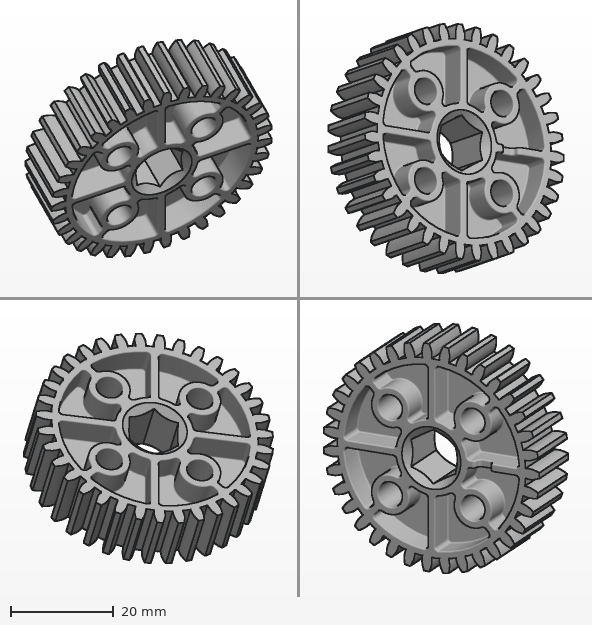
import cadquery as cq
import math

INCH = 25.4

TOOTH_COUNT = 35
DIAMETRAL_PITCH = 20
PRESSURE_ANGLE = math.radians(14.5)
FACE_WIDTH = 0.5 * INCH
MODULE = INCH / DIAMETRAL_PITCH
ADDENDUM = MODULE
DEDENDUM = 1.35 * MODULE
PITCH_RADIUS = MODULE * TOOTH_COUNT / 2
TIP_RADIUS = PITCH_RADIUS + ADDENDUM
ROOT_RADIUS = PITCH_RADIUS - DEDENDUM
BASE_RADIUS = PITCH_RADIUS * math.cos(PRESSURE_ANGLE)
FIRST_TOOTH_ANGLE = math.pi
FLANK_STEPS = 5
ROOT_OVERLAP = MODULE / 4

HEX_ACROSS_FLATS = 9.65
HEX_ACROSS_CORNERS = HEX_ACROSS_FLATS / math.cos(math.pi / 6)
LEAD_IN_RADIUS = 6.4

BOLT_CIRCLE_RADIUS = INCH / 2
BOLT_HOLE_RADIUS = 2.6
BOLT_HOLE_ROUND = 0.25
BOLT_HOLE_COUNT = 4
FIRST_BOLT_ANGLE = math.pi / 4

RIM_INNER_RADIUS = 0.75 * INCH
HUB_RADIUS = 7.8
BOSS_RADIUS = 4.13
SPOKE_WIDTH = INCH / 16
WEB_THICKNESS = INCH / 16
POCKET_DEPTH = (FACE_WIDTH - WEB_THICKNESS) / 2
POCKET_CORNER_RADIUS = INCH / 32
POCKET_EDGE_ROUND = INCH / 80

NOTCH_CENTRE_RADIUS = 7 / 16 * INCH
NOTCH_FLOOR_HALF = INCH / 32
NOTCH_ARC_RADIUS = INCH / 32


def polar(radius, angle):
    return (radius * math.cos(angle), radius * math.sin(angle))


def involute(angle):
    return math.tan(angle) - angle


def tooth_half_angle(radius):
    """Half the angle a tooth spans at a radius on its involute flank."""
    roll = math.acos(BASE_RADIUS / radius)
    return math.pi / (2 * TOOTH_COUNT) + involute(PRESSURE_ANGLE) - involute(roll)


def tooth_flank(centre_angle, side):
    """Points from inside the root circle to the tip along one flank (side is +1 or -1).

    The flank is an involute above the base circle and runs radially inward below it.
    """
    foot_radius = ROOT_RADIUS - ROOT_OVERLAP
    points = [polar(foot_radius, centre_angle + side * tooth_half_angle(BASE_RADIUS))]
    for step in range(FLANK_STEPS + 1):
        radius = BASE_RADIUS + (TIP_RADIUS - BASE_RADIUS) * step / FLANK_STEPS
        points.append(polar(radius, centre_angle + side * tooth_half_angle(radius)))
    return points


def make_tooth(centre_angle):
    right = tooth_flank(centre_angle, -1)
    left = tooth_flank(centre_angle, 1)[::-1]
    return (
        cq.Workplane("YZ")
        .moveTo(*right[0])
        .spline(right[1:], includeCurrent=True)
        .threePointArc(polar(TIP_RADIUS, centre_angle), left[0])
        .spline(left[1:], includeCurrent=True)
        .close()
        .extrude(FACE_WIDTH)
    )


def make_gear_blank():
    blank = cq.Workplane("YZ").circle(ROOT_RADIUS).extrude(FACE_WIDTH)
    for i in range(TOOTH_COUNT):
        blank = blank.union(make_tooth(FIRST_TOOTH_ANGLE + 2 * math.pi * i / TOOTH_COUNT))
    return blank


def point_toward(centre, radius, target):
    """The point at a radius from a centre, in the direction of a target."""
    reach = math.dist(centre, target)
    return tuple(c + (t - c) * radius / reach for c, t in zip(centre, target))


def arc_to(path, centre, radius, start, end):
    """Extend a path by the shorter arc about a centre."""
    chord_middle = tuple((a + b) / 2 for a, b in zip(start, end))
    return path.threePointArc(point_toward(centre, radius, chord_middle), end)


def from_diagonal(along, offset):
    """Y, Z of a point given along the 45 degree line and offset toward +Y from it."""
    return ((along + offset) / math.sqrt(2), (along - offset) / math.sqrt(2))


def make_pocket():
    """The pocket between the +Y spoke and the 45 degree spoke, opening at X = 0.

    Each rounded corner is an arc tangent to its two neighbouring walls.
    """
    wall = SPOKE_WIDTH / 2
    inset = wall + POCKET_CORNER_RADIUS
    near_hub = HUB_RADIUS + POCKET_CORNER_RADIUS
    near_rim = RIM_INNER_RADIUS - POCKET_CORNER_RADIUS
    near_boss = BOSS_RADIUS + POCKET_CORNER_RADIUS
    axis = (0, 0)
    boss = from_diagonal(BOLT_CIRCLE_RADIUS, 0)

    hub_spoke = (math.sqrt(near_hub**2 - inset**2), inset)
    spoke_rim = (math.sqrt(near_rim**2 - inset**2), inset)
    rim_diagonal_along = math.sqrt(near_rim**2 - inset**2)
    diagonal_boss_along = BOLT_CIRCLE_RADIUS + math.sqrt(near_boss**2 - inset**2)
    boss_hub_along = (BOLT_CIRCLE_RADIUS**2 + near_hub**2 - near_boss**2) / (2 * BOLT_CIRCLE_RADIUS)
    rim_diagonal = from_diagonal(rim_diagonal_along, inset)
    diagonal_boss = from_diagonal(diagonal_boss_along, inset)
    boss_hub = from_diagonal(boss_hub_along, math.sqrt(near_hub**2 - boss_hub_along**2))

    corners = [
        (hub_spoke, point_toward(axis, HUB_RADIUS, hub_spoke), (hub_spoke[0], wall)),
        (spoke_rim, (spoke_rim[0], wall), point_toward(axis, RIM_INNER_RADIUS, spoke_rim)),
        (
            rim_diagonal,
            point_toward(axis, RIM_INNER_RADIUS, rim_diagonal),
            from_diagonal(rim_diagonal_along, wall),
        ),
        (
            diagonal_boss,
            from_diagonal(diagonal_boss_along, wall),
            point_toward(boss, BOSS_RADIUS, diagonal_boss),
        ),
        (
            boss_hub,
            point_toward(boss, BOSS_RADIUS, boss_hub),
            point_toward(axis, HUB_RADIUS, boss_hub),
        ),
    ]
    walls = [None, None, (axis, RIM_INNER_RADIUS), None, (boss, BOSS_RADIUS)]

    first = corners[0][1]
    previous = first
    path = cq.Workplane("YZ").moveTo(*first)
    for curved_wall, (centre, start, end) in zip(walls, corners):
        if curved_wall:
            path = arc_to(path, *curved_wall, previous, start)
        elif start != previous:
            path = path.lineTo(*start)
        path = arc_to(path, centre, POCKET_CORNER_RADIUS, start, end)
        previous = end
    path = arc_to(path, axis, HUB_RADIUS, previous, first).close()
    return path.extrude(POCKET_DEPTH).faces(">X").edges().fillet(POCKET_EDGE_ROUND)


def mirrored_to_far_face(body):
    """The same body as seen from the opposite gear face."""
    return body.mirror("YZ", (FACE_WIDTH / 2, 0, 0))


def cut_pockets(gear):
    pocket = make_pocket()
    for shape in (pocket, pocket.mirror("XZ")):
        for quarter in range(4):
            turned = shape.rotate((0, 0, 0), (1, 0, 0), 90 * quarter)
            gear = gear.cut(turned).cut(mirrored_to_far_face(turned))
    return gear


def cut_notch(gear):
    """Sink the notch from X = 0: S-shaped sides that leave the face and meet the floor tangentially."""
    radius = NOTCH_ARC_RADIUS
    depth = 2 * radius
    diagonal = radius * math.sqrt(0.5)
    floor = NOTCH_FLOOR_HALF
    mouth = floor + 2 * radius
    profile = (
        cq.Workplane("XY", origin=(0, -NOTCH_CENTRE_RADIUS, 0))
        .moveTo(0, -mouth)
        .threePointArc((radius - diagonal, -mouth + diagonal), (radius, -floor - radius))
        .threePointArc((radius + diagonal, -floor - diagonal), (depth, -floor))
        .lineTo(depth, floor)
        .threePointArc((radius + diagonal, floor + diagonal), (radius, floor + radius))
        .threePointArc((radius - diagonal, mouth - diagonal), (0, mouth))
        .close()
    )
    return gear.cut(profile.extrude(SPOKE_WIDTH / 2, both=True))


def round_pocket_edges(gear):
    """Round the pocket mouths; the rounds follow the notch sides by tangency."""
    mouth_edges = []
    for selector in ("<X", ">X"):
        for edge in gear.faces(selector).edges().vals():
            middle = edge.positionAt(0.5)
            if math.hypot(middle.y, middle.z) <= RIM_INNER_RADIUS + POCKET_EDGE_ROUND:
                mouth_edges.append(edge)
    return gear.newObject(mouth_edges).fillet(POCKET_EDGE_ROUND)


def cut_bolt_holes(gear):
    step = 2 * math.pi / BOLT_HOLE_COUNT
    centres = [polar(BOLT_CIRCLE_RADIUS, FIRST_BOLT_ANGLE + step * i) for i in range(BOLT_HOLE_COUNT)]
    holes = cq.Workplane("YZ").pushPoints(centres).circle(BOLT_HOLE_RADIUS).extrude(FACE_WIDTH)
    gear = gear.cut(holes)
    rims = []
    for selector in ("<X", ">X"):
        for edge in gear.faces(selector).edges("%CIRCLE").vals():
            if math.isclose(edge.radius(), BOLT_HOLE_RADIUS):
                rims.append(edge)
    return gear.newObject(rims).fillet(BOLT_HOLE_ROUND)


def cut_bore(gear):
    hexagon = (
        cq.Workplane("YZ")
        .transformed(rotate=(0, 0, 90))
        .polygon(6, HEX_ACROSS_CORNERS)
        .extrude(FACE_WIDTH)
    )
    cone = cq.Workplane(cq.Solid.makeCone(LEAD_IN_RADIUS, 0, LEAD_IN_RADIUS, dir=cq.Vector(1, 0, 0)))
    return gear.cut(hexagon).cut(cone).cut(mirrored_to_far_face(cone))


gear = make_gear_blank()
gear = cut_pockets(gear)
gear = cut_notch(gear)
gear = round_pocket_edges(gear)
gear = cut_bolt_holes(gear)
result = cut_bore(gear)